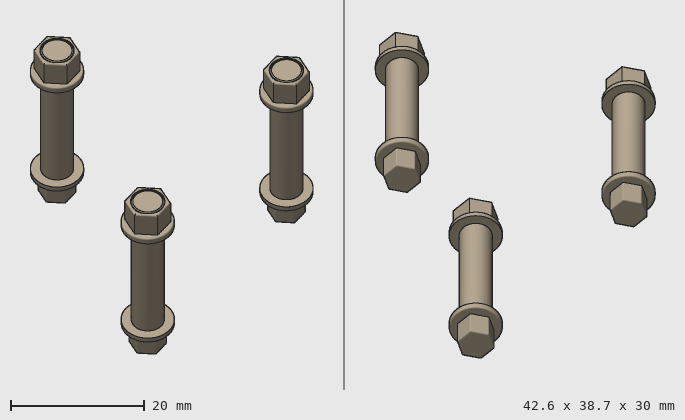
import cadquery as cq
import math

group_width = 42.6
group_depth = 38.7
total_height = 30.0

flange_diameter = 8.0
flange_thickness = 1.0
shank_diameter = 5.0
hex_height = 4.0

head_across_flats = 5.0
nut_across_flats = 6.0

edge_round = 0.25

shank_end_chamfer = 0.25
nut_bore_chamfer = 0.1

head_height = hex_height + flange_thickness
nut_bottom = total_height - head_height

right_x = (group_width - flange_diameter) / 2
back_y = (group_depth - flange_diameter) / 2
back_x = 1.28
left_row_offset = 1.5
axis_positions = [
    (-right_x, -back_y + left_row_offset),
    (right_x, -back_y),
    (back_x, back_y),
]


def hexagon(across_flats, bottom):
    """Hexagonal prism with two corners on the X axis."""
    across_corners = across_flats / math.cos(math.radians(30))
    base = cq.Workplane("XY").workplane(offset=bottom)
    return base.polygon(6, across_corners).extrude(hex_height)


def flange(bottom, rounded_side):
    """Circular flange with a rounded rim on one side."""
    disc = cq.Workplane("XY").workplane(offset=bottom).circle(flange_diameter / 2).extrude(flange_thickness)
    return disc.faces(rounded_side).edges().fillet(edge_round)


def make_bolt():
    """Flanged hex bolt, head down, whose shank reaches the top of the nut."""
    head = hexagon(head_across_flats, 0)
    head = head.edges("|Z").fillet(edge_round)
    head = head.faces("<Z").edges().fillet(edge_round)
    shank = (
        cq.Workplane("XY")
        .workplane(offset=head_height)
        .circle(shank_diameter / 2)
        .extrude(total_height - head_height)
        .faces(">Z")
        .chamfer(shank_end_chamfer)
    )
    return head.union(flange(hex_height, "<Z")).union(shank)


def make_nut():
    """Flanged hex nut, flange down, bored to fit the shank."""
    hex_bottom = nut_bottom + flange_thickness
    hex_body = hexagon(nut_across_flats, hex_bottom)
    hex_body = hex_body.faces(">Z").edges().fillet(edge_round)
    body = flange(nut_bottom, ">Z").union(hex_body)
    body = body.faces(">Z").workplane().hole(shank_diameter)
    bore_rim = body.faces(">Z").edges("%CIRCLE")
    return bore_rim.chamfer(nut_bore_chamfer)


bolt = make_bolt()
nut = make_nut()
bodies = []
for x, y in axis_positions:
    for body in (bolt, nut):
        bodies.append(body.translate((x, y, 0)).solids().val())

result = cq.Compound.makeCompound(bodies)